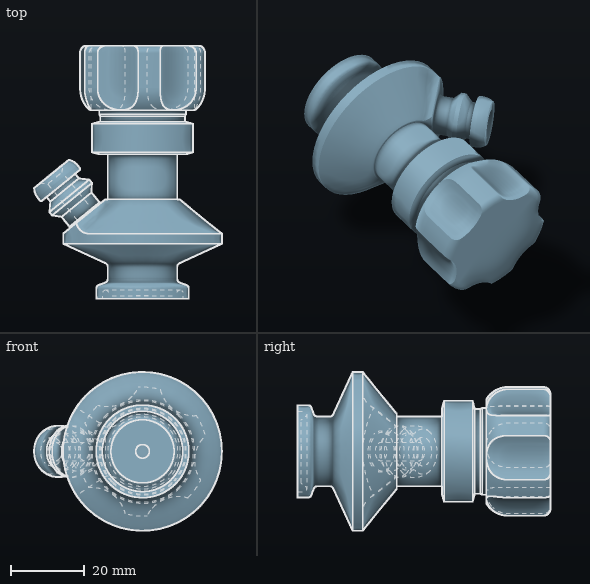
import cadquery as cq
import math


neck_radius = 9.45
ferrule_radius = 12.55
ferrule_taper_start = 3.55
ferrule_taper = math.radians(20)
ferrule_fillet = 1.0
gasket_groove_radius = 10.9
gasket_groove_wall = 1.65
gasket_groove_fillet = 0.8
gasket_groove_flank = math.radians(55)
plug_radius = 8.55
stem_radius = 1.85
stem_recess = 0.15

bell_radius = 21.5
bell_start = 9.4
bell_rim_start = 14.9
bell_rim_end = 17.7
bell_end = 26.9
bell_top_radius = 10.15
bell_root_fillet = 0.9

collar_radius = 13.7
collar_start = 39.1
collar_end = 47.95
collar_bevel_height = 0.55
collar_bevel_radius = 11.7
knob_neck_radius = 11.5
knob_neck_step = 0.3
knob_neck_step_start = 49.45
knob_neck_step_end = 50.0

total_length = 68.5
knob_start = 51.0
knob_radius = 17.5
knob_base_radius = 14.05
knob_curve_end = 57.05
knob_edge_fillet = 2.0
scallop_count = 6
scallop_radius = 18.6 / 2
scallop_floor_radius = 14.2
lobe_turn = 6.0

pad_half_width = 14.25
pad_fillet_angle = math.radians(47.6)

nozzle_center_x = -15.5
nozzle_length = 14.5
nozzle_radius = 10.5 / 2
nozzle_root_flare = 0.35
nozzle_embed = 5.2
nozzle_neck_radius = 5.0
nozzle_rim_radius = 14.0 / 2
nozzle_face_radius = 6.1
nozzle_bore_radius = 5.0 / 2
countersink_depth = 1.4
barb_start = 3.8
barb_crest_start = 5.7
barb_crest_end = 6.85
barb_end = 8.9
rim_start = 10.5
rim_dome_start = 11.85
rim_edge_fillet = 0.35

pick_margin = 0.01

cone_slope = math.atan2(bell_end - bell_rim_end, bell_radius - bell_top_radius)


def revolve_about_y(profile):
    """Turn a closed (radius, Y) profile around the Y axis."""
    return profile.close().revolve(360, (0, 0, 0), (0, 1, 0))


def ring_edges(radius, height):
    """Selector box for the circular edges at one Y height, up to the given radius."""
    reach = radius + pick_margin
    return cq.selectors.BoxSelector(
        (-reach, height - pick_margin, -reach),
        (reach, height + pick_margin, reach),
        boundingbox=True,
    )


def shoulder_arc_middle(side_point, end_point):
    """Middle of an arc that leaves a cylinder's side tangentially; points are (radius, Y)."""
    inset = side_point[0] - end_point[0]
    rise = end_point[1] - side_point[1]
    arc_radius = (inset**2 + rise**2) / (2 * inset)
    half_sweep = math.asin(rise / arc_radius) / 2
    return (
        side_point[0] - arc_radius * (1 - math.cos(half_sweep)),
        side_point[1] + arc_radius * math.sin(half_sweep),
    )


def make_body():
    taper_end = ferrule_taper_start + (ferrule_radius - neck_radius) * math.tan(ferrule_taper)
    outline = [
        (0, 0),
        (ferrule_radius, 0),
        (ferrule_radius, ferrule_taper_start),
        (neck_radius, taper_end),
        (neck_radius, bell_start),
        (bell_radius, bell_rim_start),
        (bell_radius, bell_rim_end),
        (bell_top_radius, bell_end),
        (neck_radius, bell_end),
        (neck_radius, collar_start),
        (collar_bevel_radius, collar_start),
        (collar_radius, collar_start + collar_bevel_height),
        (collar_radius, collar_end - collar_bevel_height),
        (collar_bevel_radius, collar_end),
        (knob_neck_radius, collar_end),
        (knob_neck_radius, knob_neck_step_start),
        (knob_neck_radius + knob_neck_step, knob_neck_step_end),
        (knob_neck_radius + knob_neck_step, knob_start),
        (0, knob_start),
    ]
    body = revolve_about_y(cq.Workplane("XY").polyline(outline))
    body = body.edges(ring_edges(ferrule_radius, ferrule_taper_start)).fillet(ferrule_fillet)
    body = body.edges(ring_edges(neck_radius, taper_end)).fillet(ferrule_fillet)
    return body.edges(ring_edges(neck_radius, bell_start)).fillet(bell_root_fillet)


def make_face_recess():
    """Sunken plug face, gasket groove with a rounded floor, and stem end."""
    center_radius = gasket_groove_radius - gasket_groove_fillet

    def fillet_point(angle):
        """Point on the groove's fillet; angle from its deepest point, outward positive."""
        return (
            center_radius + gasket_groove_fillet * math.sin(angle),
            gasket_groove_wall + gasket_groove_fillet * math.cos(angle),
        )

    flank_start = fillet_point(-gasket_groove_flank)
    plug_recess = flank_start[1] - (flank_start[0] - plug_radius) * math.tan(gasket_groove_flank)
    profile = (
        cq.Workplane("XY")
        .moveTo(0, 0)
        .lineTo(gasket_groove_radius, 0)
        .lineTo(gasket_groove_radius, gasket_groove_wall)
        .threePointArc(fillet_point(0), flank_start)
        .lineTo(plug_radius, plug_recess)
        .lineTo(stem_radius, plug_recess)
        .lineTo(stem_radius, plug_recess + stem_recess)
        .lineTo(0, plug_recess + stem_recess)
    )
    return revolve_about_y(profile)


def make_knob():
    shoulder_middle = shoulder_arc_middle(
        (knob_radius, knob_curve_end), (knob_base_radius, knob_start)
    )
    profile = (
        cq.Workplane("XY")
        .moveTo(0, knob_start)
        .lineTo(knob_base_radius, knob_start)
        .threePointArc(shoulder_middle, (knob_radius, knob_curve_end))
        .lineTo(knob_radius, total_length)
        .lineTo(0, total_length)
    )
    knob = revolve_about_y(profile)
    knob = knob.edges(ring_edges(knob_radius, total_length)).fillet(knob_edge_fillet)

    scallop_distance = scallop_floor_radius + scallop_radius
    for index in range(scallop_count):
        angle = math.radians(lobe_turn + (index + 0.5) * 360 / scallop_count)
        scallop = cq.Solid.makeCylinder(
            scallop_radius,
            total_length - knob_start,
            cq.Vector(
                scallop_distance * math.sin(angle), knob_start, scallop_distance * math.cos(angle)
            ),
            cq.Vector(0, 1, 0),
        )
        knob = knob.cut(cq.Workplane(scallop))
    return knob


def pad_section(height):
    """Pad outline at one Y height: flat face on -X, concave flanks tangent to the cone."""
    cone_radius = bell_radius - (height - bell_rim_end) / math.tan(cone_slope)
    half_width = pad_half_width * cone_radius / bell_radius
    out_x = -math.cos(pad_fillet_angle)
    out_z = math.sin(pad_fillet_angle)
    tangent_x = cone_radius * out_x
    tangent_z = cone_radius * out_z

    reach_x = -cone_radius - tangent_x
    reach_z = half_width - tangent_z
    flank_radius = (reach_x**2 + reach_z**2) / (2 * (reach_x * out_x + reach_z * out_z))
    center_x = tangent_x + flank_radius * out_x
    center_z = tangent_z + flank_radius * out_z
    toward_x = (tangent_x - cone_radius) / 2 - center_x
    toward_z = (tangent_z + half_width) / 2 - center_z
    toward_length = math.hypot(toward_x, toward_z)
    middle_x = center_x + flank_radius * toward_x / toward_length
    middle_z = center_z + flank_radius * toward_z / toward_length

    def at(x, z):
        return cq.Vector(x, height, z)

    return cq.Wire.assembleEdges([
        cq.Edge.makeLine(at(-cone_radius, -half_width), at(-cone_radius, half_width)),
        cq.Edge.makeThreePointArc(
            at(-cone_radius, half_width), at(middle_x, middle_z), at(tangent_x, tangent_z)
        ),
        cq.Edge.makeLine(at(tangent_x, tangent_z), at(tangent_x, -tangent_z)),
        cq.Edge.makeThreePointArc(
            at(tangent_x, -tangent_z), at(middle_x, -middle_z), at(-cone_radius, -half_width)
        ),
    ])


def make_pad():
    """Flat pad on the upper cone, narrowing with it and trimmed to the bell rim."""
    pad = cq.Solid.makeLoft([pad_section(bell_rim_end), pad_section(bell_end)], True)
    rim = cq.Solid.makeCylinder(
        bell_radius,
        bell_end - bell_rim_end,
        cq.Vector(0, bell_rim_end, 0),
        cq.Vector(0, 1, 0),
    )
    return cq.Workplane(pad).intersect(cq.Workplane(rim))


def place_on_pad(shape):
    """Move a shape built along +Y onto the pad face, square to it."""
    pad_y = bell_rim_end + (nozzle_center_x + bell_radius) * math.tan(cone_slope)
    tilted = shape.rotate((0, 0, 0), (0, 0, 1), math.degrees(cone_slope))
    return tilted.translate((nozzle_center_x, pad_y, 0))


def make_nozzle():
    dome_middle = shoulder_arc_middle(
        (nozzle_rim_radius, rim_dome_start), (nozzle_face_radius, nozzle_length)
    )
    root_radius = nozzle_radius + nozzle_root_flare
    profile = (
        cq.Workplane("XY")
        .moveTo(0, -nozzle_embed)
        .lineTo(root_radius, -nozzle_embed)
        .lineTo(root_radius, 0)
        .lineTo(nozzle_radius, nozzle_root_flare)
        .lineTo(nozzle_radius, barb_start)
        .lineTo(nozzle_rim_radius, barb_crest_start)
        .lineTo(nozzle_rim_radius, barb_crest_end)
        .lineTo(nozzle_neck_radius, barb_end)
        .lineTo(nozzle_neck_radius, rim_start)
        .lineTo(nozzle_rim_radius, rim_start)
        .lineTo(nozzle_rim_radius, rim_dome_start)
        .threePointArc(dome_middle, (nozzle_face_radius, nozzle_length))
        .lineTo(0, nozzle_length)
    )
    nozzle = revolve_about_y(profile)
    rim_edge = nozzle.edges(ring_edges(nozzle_rim_radius, rim_start)).edges(
        cq.selectors.RadiusNthSelector(-1)
    )
    nozzle = rim_edge.fillet(rim_edge_fillet)
    return place_on_pad(nozzle)


def make_nozzle_bore():
    """Blind bore down to the pad face with a 45 degree countersink."""
    profile = (
        cq.Workplane("XY")
        .moveTo(0, 0)
        .lineTo(nozzle_bore_radius, 0)
        .lineTo(nozzle_bore_radius, nozzle_length - countersink_depth)
        .lineTo(nozzle_bore_radius + countersink_depth, nozzle_length)
        .lineTo(0, nozzle_length)
    )
    return place_on_pad(revolve_about_y(profile))


result = (
    make_body()
    .union(make_knob())
    .union(make_pad())
    .union(make_nozzle())
    .cut(make_face_recess())
    .cut(make_nozzle_bore())
)